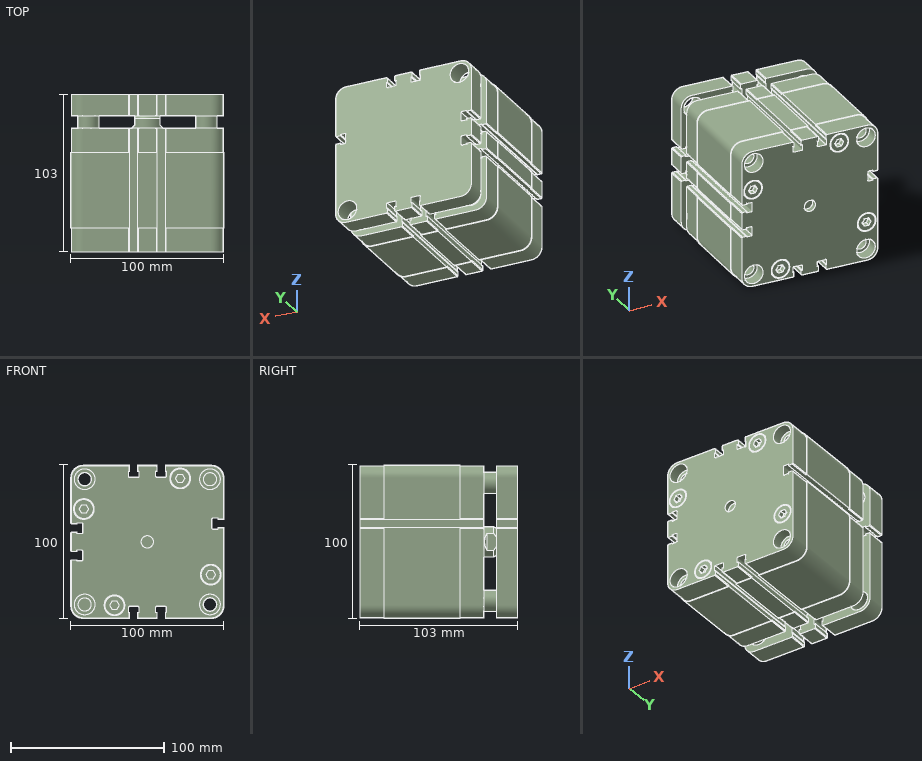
import cadquery as cq
import math


LENGTH = 103.0
BODY_SIZE = 100.0
CAP_SIZE = 99.2
CORNER_CENTRE = 41.8
PLATE_THICKNESS = 14.0
GAP = 8.0
CAP_LENGTH = 15.8
BODY_LENGTH = LENGTH - PLATE_THICKNESS - GAP - 2 * CAP_LENGTH

FRONT_Y = -LENGTH / 2
BODY_START_Y = FRONT_Y + CAP_LENGTH
BODY_END_Y = BODY_START_Y + BODY_LENGTH
CYLINDER_END_Y = BODY_END_Y + CAP_LENGTH
PLATE_START_Y = CYLINDER_END_Y + GAP

SLOT_DEPTH = 7.8
NECK_DEPTH = 4.0
NECK_WIDTH = 5.4
PAIR_NECK_OFFSET = 9.1
PAIR_POCKET_OFFSET = 8.9
PAIR_POCKET_WIDTH = 6.8
SINGLE_SLOT_OFFSET = 11.9
SINGLE_POCKET_WIDTH = 7.2
POCKET_FILLET = 0.6
LIP_BEVEL = 0.5

TOP, RIGHT, BOTTOM, LEFT = 0, 90, 180, 270

CORNER_OFFSET = 40.9
COUNTERBORE_DIAMETER = 13.5
COUNTERBORE_DEPTH = 8.5
MOUNTING_DIAMETER = 8.5

SCREW_FAR = 41.4
SCREW_NEAR = 21.4
SCREW_BORE_DIAMETER = 13.5
SCREW_HEAD_DIAMETER = 12.5
SCREW_HEAD_HEIGHT = 8.0
HEX_ACROSS_FLATS = 5.4
HEX_DEPTH = 4.0

CENTRE_HOLE_DIAMETER = 8.0
CENTRE_HOLE_DEPTH = 4.0

ROD_DIAMETER = 20.0
ROD_ACROSS_FLATS = 16.7
ROD_CHAMFER_LENGTH = 1.8
ROD_CHAMFER_DEPTH = 1.0
FLAT_CLEARANCE = 2.1
GUIDE_DIAMETER = 14.0
GUIDE_OFFSET = 38.5


def rod(x, z, diameter, y, length):
    """Cylinder parallel to the axis, running from y towards +Y."""
    return cq.Workplane(cq.Solid.makeCylinder(diameter / 2, length, cq.Vector(x, y, z), cq.Vector(0, 1, 0)))


def bar(x, z, width, height, y, length):
    """Rectangular bar parallel to the axis, centred on (x, z), running from y towards +Y."""
    return cq.Workplane().box(width, length, height).translate((x, y + length / 2, z))


def t_slot(neck_x, pocket_x, pocket_width, y, length):
    """Cutter for a T-slot in the +Z side."""
    face = BODY_SIZE / 2
    pocket_height = SLOT_DEPTH - NECK_DEPTH
    pocket_z = face - SLOT_DEPTH + pocket_height / 2
    pocket = bar(pocket_x, pocket_z, pocket_width, pocket_height, y, length)
    pocket = pocket.edges("|Y and <Z").fillet(POCKET_FILLET)
    return pocket.union(bar(neck_x, face - SLOT_DEPTH / 2, NECK_WIDTH, SLOT_DEPTH, y, length))


def lip_bevel(neck_x, size, y, length):
    """Cutter bevelling both edges of a slot mouth in the +Z side of a block of this size."""
    inner = NECK_WIDTH / 2
    outer = inner + LIP_BEVEL
    profile = [(-outer, 0), (outer, 0), (inner, -LIP_BEVEL), (-inner, -LIP_BEVEL)]
    plane = cq.Workplane("XZ", origin=(neck_x, y, size / 2))
    return plane.polyline(profile).close().extrude(-length)


def slotted_block(size, y, length, bevelled_sides):
    """Rounded square block with a pair of T-slots in three sides and one in the +X side."""
    solid = bar(0, 0, size, size, y, length).edges("|Y").fillet(size / 2 - CORNER_CENTRE)
    slots = [(RIGHT, -SINGLE_SLOT_OFFSET, -SINGLE_SLOT_OFFSET, SINGLE_POCKET_WIDTH)]
    for side in (TOP, BOTTOM, LEFT):
        for sign in (-1, 1):
            slots.append((side, sign * PAIR_NECK_OFFSET, sign * PAIR_POCKET_OFFSET, PAIR_POCKET_WIDTH))
    for side, neck_x, pocket_x, pocket_width in slots:
        cutter = t_slot(neck_x, pocket_x, pocket_width, y, length)
        if side in bevelled_sides:
            cutter = cutter.union(lip_bevel(neck_x, size, y, length))
        solid = solid.cut(cutter.rotate((0, 0, 0), (0, 1, 0), side))
    return solid


def piston_rod():
    """Rod bridging the gap, tapered at the plate, with flats on its -X and +X sides."""
    radius = ROD_DIAMETER / 2
    flat_x = ROD_ACROSS_FLATS / 2
    tip = radius - ROD_CHAMFER_DEPTH
    taper_y = PLATE_START_Y - ROD_CHAMFER_LENGTH
    turned = (
        cq.Workplane("XY")
        .polyline([
            (0, CYLINDER_END_Y),
            (radius, CYLINDER_END_Y),
            (radius, taper_y),
            (tip, PLATE_START_Y),
            (0, PLATE_START_Y),
        ])
        .close()
        .revolve(360, (0, 0, 0), (0, 1, 0))
    )
    flat_y = CYLINDER_END_Y + FLAT_CLEARANCE
    flat = (
        cq.Workplane("XY")
        .polyline([
            (flat_x, flat_y),
            (flat_x + FLAT_CLEARANCE, CYLINDER_END_Y),
            (flat_x + FLAT_CLEARANCE, PLATE_START_Y),
            (flat_x, PLATE_START_Y),
        ])
        .close()
        .extrude(radius, both=True)
    )
    return turned.cut(flat).cut(flat.mirror("YZ"))


def cap_screw_cut(x, z):
    """Clearance ring around a flush screw head, together with its hexagon socket."""
    bore = rod(x, z, SCREW_BORE_DIAMETER, FRONT_Y, SCREW_HEAD_HEIGHT)
    ring = bore.cut(rod(x, z, SCREW_HEAD_DIAMETER, FRONT_Y, SCREW_HEAD_HEIGHT))
    across_corners = HEX_ACROSS_FLATS / math.cos(math.radians(30))
    socket = cq.Workplane("XZ", origin=(x, FRONT_Y, z)).polygon(6, across_corners).extrude(-HEX_DEPTH)
    return ring.union(socket)


cap_bevels = (TOP, RIGHT, BOTTOM, LEFT)
result = slotted_block(BODY_SIZE, BODY_START_Y, BODY_LENGTH, (LEFT,))
result = result.union(slotted_block(CAP_SIZE, FRONT_Y, CAP_LENGTH, cap_bevels))
result = result.union(slotted_block(CAP_SIZE, BODY_END_Y, CAP_LENGTH, cap_bevels))
result = result.union(slotted_block(CAP_SIZE, PLATE_START_Y, PLATE_THICKNESS, cap_bevels))

result = result.union(piston_rod())
for sign in (-1, 1):
    result = result.union(rod(sign * GUIDE_OFFSET, sign * GUIDE_OFFSET, GUIDE_DIAMETER, CYLINDER_END_Y, GAP))

for x_sign in (-1, 1):
    for z_sign in (-1, 1):
        x = x_sign * CORNER_OFFSET
        z = z_sign * CORNER_OFFSET
        result = result.cut(rod(x, z, COUNTERBORE_DIAMETER, FRONT_Y, COUNTERBORE_DEPTH))
        if x_sign == z_sign:
            result = result.cut(rod(x, z, MOUNTING_DIAMETER, FRONT_Y, CAP_LENGTH))
        else:
            result = result.cut(rod(x, z, MOUNTING_DIAMETER, FRONT_Y, LENGTH))
            result = result.cut(rod(x, z, COUNTERBORE_DIAMETER, PLATE_START_Y, PLATE_THICKNESS))

for x, z in (
    (-SCREW_FAR, SCREW_NEAR),
    (SCREW_NEAR, SCREW_FAR),
    (SCREW_FAR, -SCREW_NEAR),
    (-SCREW_NEAR, -SCREW_FAR),
):
    result = result.cut(cap_screw_cut(x, z))

result = result.cut(rod(0, 0, CENTRE_HOLE_DIAMETER, FRONT_Y, CENTRE_HOLE_DEPTH))